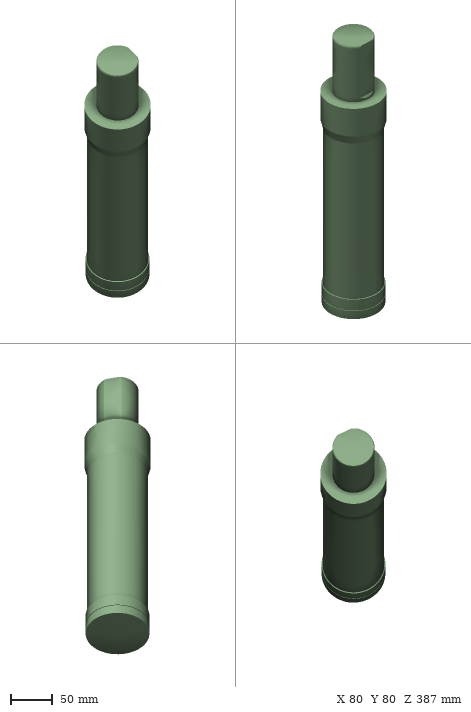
import cadquery as cq

total_height = 387.0
housing_top = 307.0

tube_radius = 74.0 / 2
head_radius = 80.0 / 2
head_height = 40.0
taper_height = 12.0
taper_end_radius = 74.4 / 2
taper_foot_height = 1.2
base_radius = 76.9 / 2
base_top = 30.0
base_cone_height = 1.8
base_flat_radius = 10.0

groove_radius = 75.2 / 2
groove_bottom = 13.5
groove_width = 1.2

rod_radius = 50.79 / 2
bore_depth = head_height + taper_height
bore_bottom = housing_top - bore_depth

lead_height = 1.3
lead_width = 0.2
tip_height = 1.2
tip_width = 0.7

flat_depth = 2.4
flat_y = rod_radius - flat_depth
flat_bottom = housing_top + 3.0


def make_housing():
    """Turned housing: bored head, tapered neck, plain tube and a grooved, slightly conical base."""
    head_bottom = housing_top - head_height
    taper_bottom = head_bottom - taper_height
    groove_top = groove_bottom + groove_width
    half_profile = [
        (0, 0),
        (base_flat_radius, 0),
        (base_radius, base_cone_height),
        (base_radius, groove_bottom),
        (groove_radius, groove_bottom),
        (groove_radius, groove_top),
        (base_radius, groove_top),
        (base_radius, base_top),
        (tube_radius, base_top),
        (tube_radius, taper_bottom),
        (taper_end_radius, taper_bottom + taper_foot_height),
        (head_radius, head_bottom),
        (head_radius, housing_top),
        (rod_radius, housing_top),
        (rod_radius, bore_bottom),
        (0, bore_bottom),
    ]
    return cq.Workplane("XZ").polyline(half_profile).close().revolve(360, (0, 0), (0, 1))


def make_rod():
    """Round rod with a two-step chamfer around its top end and a flat along its +Y side."""
    half_profile = [
        (0, bore_bottom),
        (rod_radius, bore_bottom),
        (rod_radius, total_height - tip_height - lead_height),
        (rod_radius - lead_width, total_height - tip_height),
        (rod_radius - lead_width - tip_width, total_height),
        (0, total_height),
    ]
    rod = cq.Workplane("XZ").polyline(half_profile).close().revolve(360, (0, 0), (0, 1))
    flat_cutter = (
        cq.Workplane("YZ")
        .moveTo(rod_radius, flat_bottom)
        .lineTo(flat_y, flat_bottom + flat_depth)
        .lineTo(flat_y, total_height)
        .lineTo(rod_radius, total_height)
        .close()
        .extrude(rod_radius, both=True)
    )
    return rod.cut(flat_cutter)


housing = make_housing()
rod = make_rod()

result = cq.Compound.makeCompound([housing.val(), rod.val()])